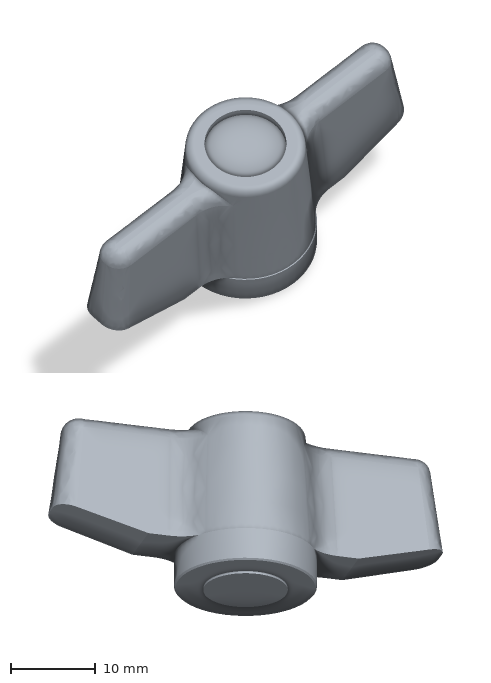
import cadquery as cq
import math

total_height = 20.3
collar_bottom = 0.3
collar_top = 4.3
wing_top = 19.2
wing_tip_bottom = 7.3

collar_diameter = 16.9
collar_chamfer = 0.2
foot_diameter = 10.0
hub_lower_radius = 8.3
hub_upper_radius = 7.05
rim_fillet = 0.95
recess_diameter = 9.7
recess_depth = 1.0

overall_length = 48.0
wing_draft = 0.085
wing_tip_slope = 0.129
wing_base_half_width = 3.3
wing_corner_base_radius = 2.35
wing_corner_taper = 0.025
wing_top_fillet = 1.8
neck_radius = 5.0
underside_flat_half_length = 12.95


def hub_radius_at(height):
    """Radius of the conical hub at the given height."""
    fraction = (height - collar_top) / (total_height - collar_top)
    return hub_lower_radius + fraction * (hub_upper_radius - hub_lower_radius)


def wing_section(height):
    """Horizontal outline of the +Y wing, closed by a chord inside the hub."""
    half_width = wing_base_half_width - wing_draft * (height - collar_top)
    tip = overall_length / 2 - wing_tip_slope * (height - wing_tip_bottom)
    hub_radius = hub_radius_at(height)

    center_x = half_width + neck_radius
    center_y = math.sqrt((hub_radius + neck_radius) ** 2 - center_x ** 2)
    hub_share = hub_radius / (hub_radius + neck_radius)
    root_x = center_x * hub_share
    root_y = center_y * hub_share
    hub_angle = math.atan2(center_y, center_x)
    middle_angle = math.pi + hub_angle / 2
    neck_x = center_x + neck_radius * math.cos(middle_angle)
    neck_y = center_y + neck_radius * math.sin(middle_angle)

    corner_radius = wing_corner_base_radius - wing_corner_taper * (height - collar_top)
    corner_x = half_width - corner_radius
    corner_y = tip - corner_radius
    corner_offset = corner_radius * math.sqrt(0.5)
    corner_middle_x = corner_x + corner_offset
    corner_middle_y = corner_y + corner_offset

    outline = (
        cq.Workplane("XY", origin=(0, 0, height))
        .moveTo(root_x, root_y)
        .threePointArc((neck_x, neck_y), (half_width, center_y))
        .lineTo(half_width, corner_y)
        .threePointArc((corner_middle_x, corner_middle_y), (corner_x, tip))
        .lineTo(-corner_x, tip)
        .threePointArc((-corner_middle_x, corner_middle_y), (-half_width, corner_y))
        .lineTo(-half_width, center_y)
        .threePointArc((-neck_x, neck_y), (-root_x, root_y))
        .close()
    )
    return outline.val()


def make_wing():
    """Drafted +Y wing with a rounded top and an underside rising to the tip."""
    sections = [wing_section(collar_top), wing_section(wing_top)]
    wing = cq.Workplane(cq.Solid.makeLoft(sections, True))
    outer_top_edges = wing.faces(">Z").edges("not <Y")
    wing = outer_top_edges.fillet(wing_top_fillet)

    tip_y = overall_length / 2
    rise = (wing_tip_bottom - collar_top) / (tip_y - underside_flat_half_length)
    cut_end = overall_length
    cut_end_height = collar_top + rise * (cut_end - underside_flat_half_length)
    underside = (
        cq.Workplane("YZ")
        .moveTo(underside_flat_half_length, collar_top)
        .lineTo(cut_end, cut_end_height)
        .lineTo(cut_end, 0)
        .lineTo(underside_flat_half_length, 0)
        .close()
        .extrude(collar_diameter, both=True)
    )
    return wing.cut(underside)


def make_hub():
    """Conical hub with its collar and foot."""
    foot = cq.Workplane("XY").circle(foot_diameter / 2).extrude(collar_top)
    collar = (
        cq.Workplane("XY", origin=(0, 0, collar_bottom))
        .circle(collar_diameter / 2)
        .extrude(collar_top - collar_bottom)
        .faces("<Z")
        .edges()
        .chamfer(collar_chamfer)
    )
    cone = (
        cq.Workplane("XY", origin=(0, 0, collar_top))
        .circle(hub_lower_radius)
        .workplane(offset=total_height - collar_top)
        .circle(hub_upper_radius)
        .loft()
        .faces(">Z")
        .edges()
        .fillet(rim_fillet)
    )
    return foot.union(collar).union(cone)


def make_recess():
    """Round shallow recess in the top of the hub."""
    floor = total_height - recess_depth
    return cq.Workplane("XY", origin=(0, 0, floor)).circle(recess_diameter / 2).extrude(recess_depth)


wing = make_wing()
opposite_wing = wing.rotate((0, 0, 0), (0, 0, 1), 180)
result = make_hub().union(wing).union(opposite_wing).cut(make_recess())